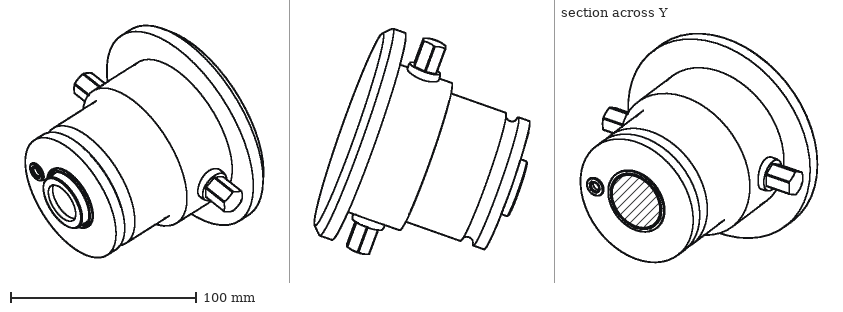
import cadquery as cq
import math

flange_radius = 118.9 / 2
flange_thickness = 11.3
flange_chamfer = 4.2
housing_radius = 42.3
housing_end = 44.2
neck_radius = 36.9
neck_end = 90.8
shoulder_fillet = 2.2
groove_width = 7.3
groove_depth = 3.5
groove_position = 80.8

hub_radius = 15.8
hub_end = 97.0
hub_chamfer = 0.6
hub_bore_radius = 11.1
hub_bore_depth = 3.1
ring_outer_radius = 18.3
ring_inner_radius = 16.5
ring_height = 1.5
ring_chamfer = 0.7

plug_offset = 26.9
plug_radius = 5.4
plug_height = 1.1
plug_chamfer = 0.5
plug_hole_radius = 2.5
plug_hole_depth = 2.5
plug_mouth_radius = 3.5
plug_mouth_depth = 0.6

stud_position = 27.3
stud_tip = 62.2
stud_dome_radius = 17.4
hex_across_flats = 12.8
hex_corner_radius = 7.2
collar_radius = 9.1
collar_end = 45.8
collar_chamfer_length = 1.2
collar_chamfer_width = 0.4
stud_embedding = 5.0
stud_root = housing_radius - stud_embedding


def face_disc(radius, start, height, x=0):
    """Disc about a Y-parallel axis, from the given start towards -Y."""
    return cq.Workplane("XZ", origin=(x, -start, 0)).circle(radius).extrude(height)


def make_body():
    """Flange, housing, filleted shoulder and grooved neck in one revolved outline."""
    return (
        cq.Workplane("XY")
        .lineTo(flange_radius - flange_chamfer, 0)
        .lineTo(flange_radius, -flange_chamfer)
        .lineTo(flange_radius, -flange_thickness)
        .lineTo(housing_radius, -flange_thickness)
        .lineTo(housing_radius, -housing_end)
        .lineTo(neck_radius + shoulder_fillet, -housing_end)
        .radiusArc((neck_radius, -housing_end - shoulder_fillet), -shoulder_fillet)
        .lineTo(neck_radius, -groove_position + groove_width / 2)
        .threePointArc(
            (neck_radius - groove_depth, -groove_position),
            (neck_radius, -groove_position - groove_width / 2),
        )
        .lineTo(neck_radius, -neck_end)
        .lineTo(0, -neck_end)
        .close()
        .revolve(360, (0, 0, 0), (0, 1, 0))
    )


def make_hub():
    hub = face_disc(hub_radius, neck_end, hub_end - neck_end).faces("<Y").chamfer(hub_chamfer)
    bore = face_disc(hub_bore_radius, hub_end - hub_bore_depth, hub_bore_depth)
    return hub.cut(bore)


def make_ring():
    ring = face_disc(ring_outer_radius, neck_end, ring_height).faces("<Y").chamfer(ring_chamfer)
    return ring.cut(face_disc(ring_inner_radius, neck_end, ring_height))


def make_plug():
    return face_disc(plug_radius, neck_end, plug_height, -plug_offset).faces("<Y").chamfer(plug_chamfer)


def make_plug_hole():
    """Blind round hole in the plug, with a conical mouth ending on a narrow ledge."""
    face = neck_end + plug_height
    hole = face_disc(plug_hole_radius, face - plug_hole_depth, plug_hole_depth, -plug_offset)
    mouth = (
        cq.Workplane("XZ", origin=(-plug_offset, -face, 0))
        .circle(plug_mouth_radius)
        .extrude(-plug_mouth_depth, taper=45)
    )
    return hole.union(mouth)


def make_stud():
    """Stud pointing along +X."""
    collar_shoulder = collar_end - collar_chamfer_length
    collar = (
        cq.Workplane("XY")
        .moveTo(stud_root, 0)
        .lineTo(stud_root, collar_radius)
        .lineTo(collar_shoulder, collar_radius)
        .lineTo(collar_end, collar_radius - collar_chamfer_width)
        .lineTo(collar_end, 0)
        .close()
        .revolve(360, (0, 0, 0), (1, 0, 0))
    )
    dome_sag = stud_dome_radius - math.sqrt(stud_dome_radius**2 - hex_corner_radius**2)
    domed_bar = (
        cq.Workplane("XY")
        .moveTo(stud_root, 0)
        .lineTo(stud_root, hex_corner_radius)
        .lineTo(stud_tip - dome_sag, hex_corner_radius)
        .radiusArc((stud_tip, 0), stud_dome_radius)
        .close()
        .revolve(360, (0, 0, 0), (1, 0, 0))
    )
    shank = (
        cq.Workplane("YZ", origin=(stud_root, 0, 0))
        .transformed(rotate=(0, 0, 90))
        .polygon(6, hex_across_flats / math.cos(math.pi / 6))
        .extrude(stud_tip - stud_root)
        .intersect(domed_bar)
    )
    return collar.union(shank).translate((0, -stud_position, 0))


stud = make_stud()
result = (
    make_body()
    .union(make_hub())
    .union(make_ring())
    .union(make_plug())
    .cut(make_plug_hole())
    .union(stud)
    .union(stud.mirror("YZ"))
)